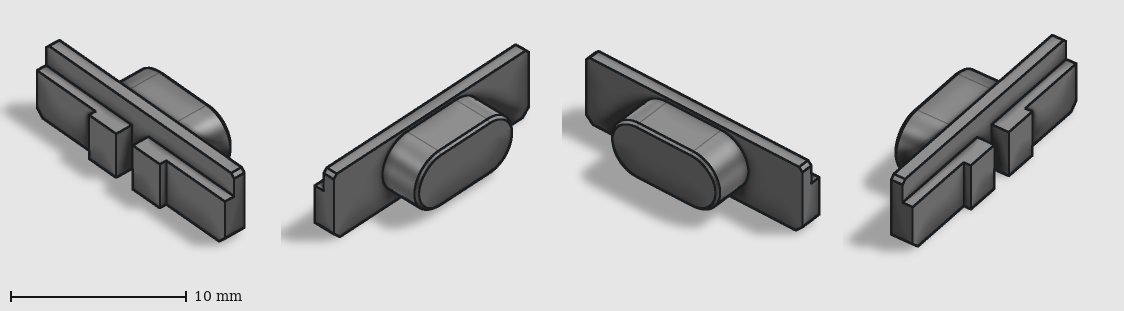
import cadquery as cq

length = 16.0
height = 4.75
plate_thickness = 0.8
top_chamfer = 0.25
bottom_chamfer = 0.5

pad_height = 3.2
pad_front = 1.5
block_front = 2.0
gap_width = 1.4
block_width = 2.3

boss_length = 8.0
boss_height = 4.0
boss_depth = 2.7
boss_chamfer = 0.2
boss_center_z = bottom_chamfer + boss_height / 2


def front_box(x_start, width, depth):
    """Box of pad height reaching forward from the back face."""
    return cq.Workplane("XY").box(width, depth, pad_height, centered=False).translate((x_start, -depth, 0))


def outline_prism(depth):
    """Plate outline with its four chamfered corners, reaching forward from the back face."""
    half = length / 2
    return (
        cq.Workplane("XZ")
        .moveTo(-half + bottom_chamfer, 0)
        .lineTo(half - bottom_chamfer, 0)
        .lineTo(half, bottom_chamfer)
        .lineTo(half, height - top_chamfer)
        .lineTo(half - top_chamfer, height)
        .lineTo(-half + top_chamfer, height)
        .lineTo(-half, height - top_chamfer)
        .lineTo(-half, bottom_chamfer)
        .close()
        .extrude(depth)
    )


body = outline_prism(plate_thickness)

pad_length = (length - gap_width) / 2
for pad_x, block_x in (
    (-length / 2, -gap_width / 2 - block_width),
    (gap_width / 2, gap_width / 2),
):
    pad = front_box(pad_x, pad_length, pad_front).intersect(outline_prism(pad_front))
    body = body.union(pad).union(front_box(block_x, block_width, block_front))

boss = (
    cq.Workplane("XZ", origin=(0, 0, boss_center_z))
    .slot2D(boss_length, boss_height)
    .extrude(-boss_depth)
    .faces(">Y")
    .chamfer(boss_chamfer)
)

result = body.union(boss)